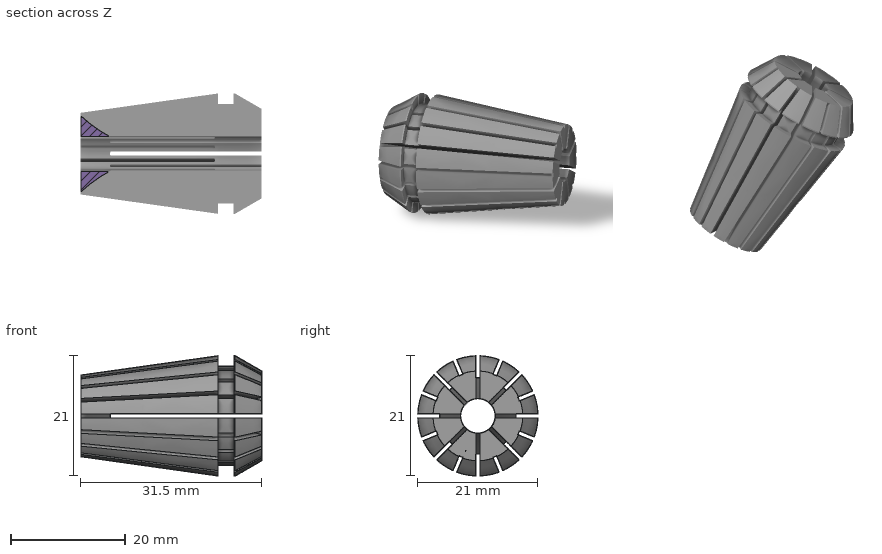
import cadquery as cq
import math

length = 31.5
max_radius = 10.5
bore_radius = 3.0

body_angle = 8.0
head_angle = 30.0
groove_start = 23.9
groove_end = 26.65
groove_radius = 8.7
rim_width = 0.22

slots_per_end = 8
slot_width = 0.7

small_end_floor_height = 6.65
small_end_floor_run = 5.17
small_end_floor_radius = 23.62
head_end_floor_height = 7.72
head_end_floor_run = 8.2
head_end_floor_radius = 37.8

rim_end = groove_end + rim_width
small_end_radius = max_radius - groove_start * math.tan(math.radians(body_angle))
head_end_radius = max_radius - (length - rim_end) * math.tan(math.radians(head_angle))
slot_pitch = 360.0 / slots_per_end
bore_edge_height = math.sqrt(bore_radius**2 - (slot_width / 2) ** 2)
clearance = 0.63
slot_top = max_radius + clearance


def make_body():
    """Revolve the bored outer profile about the X axis."""
    return (
        cq.Workplane("XY")
        .moveTo(0, bore_radius)
        .lineTo(0, small_end_radius)
        .lineTo(groove_start, max_radius)
        .lineTo(groove_start, groove_radius)
        .lineTo(groove_end, groove_radius)
        .lineTo(groove_end, max_radius)
        .lineTo(rim_end, max_radius)
        .lineTo(length, head_end_radius)
        .lineTo(length, bore_radius)
        .close()
        .revolve(360, (0, 0, 0), (1, 0, 0))
    )


def make_slot(closed_x, open_x, floor_height, floor_run, floor_radius):
    """Build one radial slot: deep at open_x, with a curved floor rising to the face at closed_x."""
    inward = math.copysign(1, open_x - closed_x)
    bore_x = closed_x + inward * floor_run
    outer_open_x = open_x + inward * clearance
    outer_closed_x = closed_x - inward * clearance
    return (
        cq.Workplane("XY")
        .moveTo(closed_x, floor_height)
        .radiusArc((bore_x, bore_edge_height), -inward * floor_radius)
        .lineTo(bore_x, 0)
        .lineTo(outer_open_x, 0)
        .lineTo(outer_open_x, slot_top)
        .lineTo(outer_closed_x, slot_top)
        .lineTo(outer_closed_x, floor_height)
        .close()
        .extrude(slot_width / 2, both=True)
    )


def cut_slots(body, slot, first_angle):
    """Cut a full ring of equally spaced slots."""
    for index in range(slots_per_end):
        angle = first_angle + index * slot_pitch
        body = body.cut(slot.rotate((0, 0, 0), (1, 0, 0), angle))
    return body


slot_from_head_end = make_slot(
    closed_x=0,
    open_x=length,
    floor_height=small_end_floor_height,
    floor_run=small_end_floor_run,
    floor_radius=small_end_floor_radius,
)
slot_from_small_end = make_slot(
    closed_x=length,
    open_x=0,
    floor_height=head_end_floor_height,
    floor_run=head_end_floor_run,
    floor_radius=head_end_floor_radius,
)

result = make_body()
result = cut_slots(result, slot_from_head_end, 0)
result = cut_slots(result, slot_from_small_end, slot_pitch / 2)